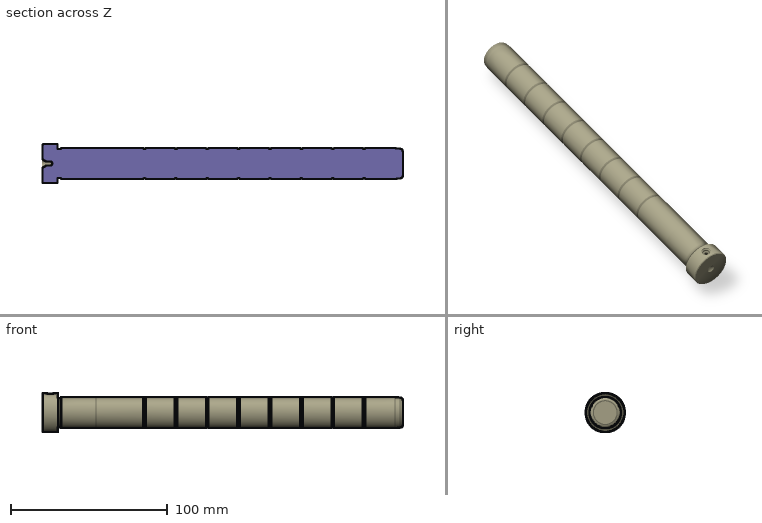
import cadquery as cq
import math

total_length = 230.0
head_diameter = 25.0
head_length = 10.0
shank_diameter = 20.0
head_radius = head_diameter / 2
shank_radius = shank_diameter / 2
head_edge_chamfer = 0.5

neck_depth = 0.58
neck_end = head_length + 1.5
neck_ramp_end = neck_end + 0.7
neck_radius = shank_radius - neck_depth

seat_end = 34.0

groove_count = 8
groove_pitch = 20.0
first_groove_centre = 65.0
groove_half_width = 1.0
groove_depth = 0.7

tip_rounding = 2.0
lead_start = 225.0
lead_end = total_length - tip_rounding
lead_end_radius = 9.7

centre_mouth_radius = 2.5
pilot_radius = 1.2
pilot_depth = 5.5
mouth_cone_angle = 60
drill_point_angle = 118

radial_hole_x = head_length / 2
radial_mouth_radius = 3.0
radial_mouth_depth = 0.7
radial_bore_radius = 2.3
radial_bore_depth = 2.3
radial_cone_angle = 90
radial_pilot_radius = 1.2
radial_pilot_depth = 5.8


def cone_length(large_radius, small_radius, included_angle):
    return (large_radius - small_radius) / math.tan(math.radians(included_angle / 2))


def turned_pin():
    profile = (
        cq.Workplane("XZ")
        .lineTo(0, head_radius - head_edge_chamfer)
        .lineTo(head_edge_chamfer, head_radius)
        .lineTo(head_length, head_radius)
        .lineTo(head_length, neck_radius)
        .lineTo(neck_end, neck_radius)
        .lineTo(neck_ramp_end, shank_radius)
        .lineTo(seat_end, shank_radius)
    )
    for index in range(groove_count):
        centre = first_groove_centre + index * groove_pitch
        profile = (
            profile.lineTo(centre - groove_half_width, shank_radius)
            .lineTo(centre, shank_radius - groove_depth)
            .lineTo(centre + groove_half_width, shank_radius)
        )
    profile = (
        profile.lineTo(lead_start, shank_radius)
        .lineTo(lead_end, lead_end_radius)
        .radiusArc((total_length, lead_end_radius - tip_rounding), tip_rounding)
        .lineTo(total_length, 0)
        .close()
    )
    return profile.revolve(360, (0, 0, 0), (1, 0, 0), clean=False)


def centre_hole():
    """Cutter along +X, starting at the head face."""
    mouth_depth = cone_length(centre_mouth_radius, pilot_radius, mouth_cone_angle)
    point_length = cone_length(pilot_radius, 0, drill_point_angle)
    profile = (
        cq.Workplane("XZ")
        .lineTo(0, centre_mouth_radius)
        .lineTo(mouth_depth, pilot_radius)
        .lineTo(pilot_depth, pilot_radius)
        .lineTo(pilot_depth + point_length, 0)
        .close()
    )
    return profile.revolve(360, (0, 0, 0), (1, 0, 0))


def radial_hole():
    """Cutter along -Z, starting at the crest of the head."""
    cone_end = radial_mouth_depth + cone_length(radial_mouth_radius, radial_bore_radius, radial_cone_angle)
    profile = (
        cq.Workplane("XZ", origin=(radial_hole_x, 0, head_radius))
        .lineTo(radial_mouth_radius, 0)
        .lineTo(radial_mouth_radius, -radial_mouth_depth)
        .lineTo(radial_bore_radius, -cone_end)
        .lineTo(radial_bore_radius, -radial_bore_depth)
        .lineTo(radial_pilot_radius, -radial_bore_depth)
        .lineTo(radial_pilot_radius, -radial_pilot_depth)
        .lineTo(0, -radial_pilot_depth)
        .close()
    )
    return profile.revolve(360, (0, 0, 0), (0, 1, 0))


result = turned_pin().cut(centre_hole(), clean=False).cut(radial_hole(), clean=False)